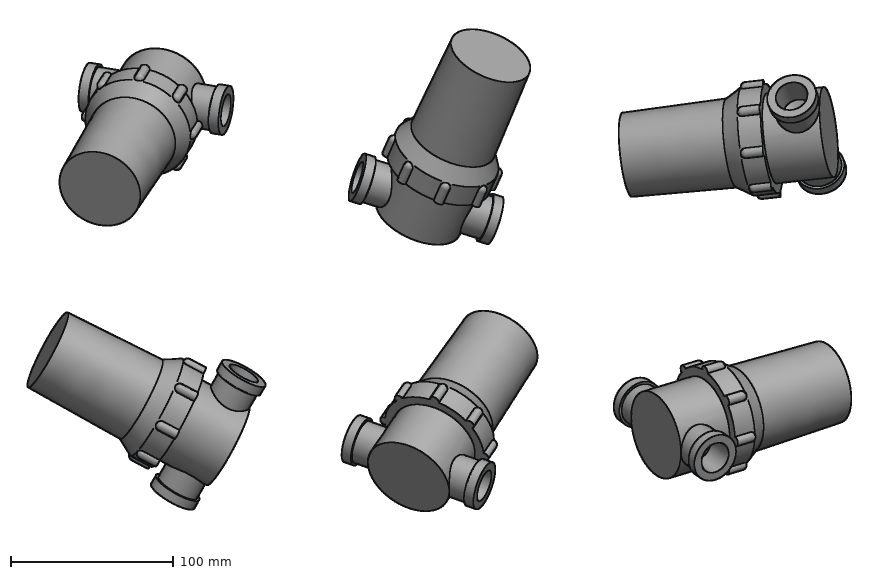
import cadquery as cq
import math

port_span = 90.7
flange_radius = 15.5
flange_thickness = 6.4
neck_radius = 13.8
bore_mouth_radius = 10.0
bore_end_radius = 9.4
bore_depth = 19.3
drill_tip_angle = 118.0

head_radius = 28.0
head_top = 13.9

overall_length = 128.6
collar_top = -22.1
collar_length = 14.5
collar_radius = 34.1
shoulder_length = 10.7
bowl_top_radius = 27.8
bowl_bottom_radius = 26.2
collar_bottom = collar_top - collar_length
shoulder_bottom = collar_bottom - shoulder_length
bowl_bottom = flange_radius - overall_length

lug_count = 8
lug_radius = 3.2
lug_circle_radius = collar_radius


def make_port():
    """Flanged port along +X, starting on the main axis."""
    flange_face = port_span / 2
    return (
        cq.Workplane("XY")
        .lineTo(flange_face, 0)
        .lineTo(flange_face, flange_radius)
        .lineTo(flange_face - flange_thickness, flange_radius)
        .lineTo(flange_face - flange_thickness, neck_radius)
        .lineTo(0, neck_radius)
        .close()
        .revolve(360, (0, 0), (1, 0))
    )


def make_port_bore():
    """Blind tapered bore with a conical drill-point bottom."""
    mouth = port_span / 2
    bore_end = mouth - bore_depth
    tip_length = bore_end_radius / math.tan(math.radians(drill_tip_angle / 2))
    return (
        cq.Workplane("XY")
        .moveTo(mouth, 0)
        .lineTo(mouth, bore_mouth_radius)
        .lineTo(bore_end, bore_end_radius)
        .lineTo(bore_end - tip_length, 0)
        .close()
        .revolve(360, (0, 0), (1, 0))
    )


def make_head():
    """Solid cylindrical head with two opposite ports."""
    head = (
        cq.Workplane("XZ", origin=(0, head_top, 0))
        .circle(head_radius)
        .extrude(head_top - collar_top)
    )
    for angle in (0, 180):
        head = head.union(make_port().rotate((0, 0, 0), (0, 0, 1), angle))
    for angle in (0, 180):
        head = head.cut(make_port_bore().rotate((0, 0, 0), (0, 0, 1), angle))
    return head


def make_lug():
    """Round grip lug along the collar, ending in a dome at the collar's lower edge."""
    dome_center = collar_bottom + lug_radius
    dome_offset = lug_radius * math.sqrt(0.5)
    return (
        cq.Workplane("XY")
        .moveTo(0, collar_top)
        .lineTo(lug_radius, collar_top)
        .lineTo(lug_radius, dome_center)
        .threePointArc((dome_offset, dome_center - dome_offset), (0, collar_bottom))
        .close()
        .revolve(360, (0, 0), (0, 1))
        .translate((lug_circle_radius, 0, 0))
    )


def make_bowl():
    """Tapered bowl with a conical shoulder and a lugged collar."""
    bowl = (
        cq.Workplane("XY")
        .moveTo(0, collar_top)
        .lineTo(collar_radius, collar_top)
        .lineTo(collar_radius, collar_bottom)
        .lineTo(bowl_top_radius, shoulder_bottom)
        .lineTo(bowl_bottom_radius, bowl_bottom)
        .lineTo(0, bowl_bottom)
        .close()
        .revolve(360, (0, 0), (0, 1))
    )
    for index in range(lug_count):
        angle = index * 360 / lug_count
        bowl = bowl.union(make_lug().rotate((0, 0, 0), (0, 1, 0), angle))
    return bowl


head = make_head()
bowl = make_bowl()
result = cq.Compound.makeCompound([head.val(), bowl.val()])